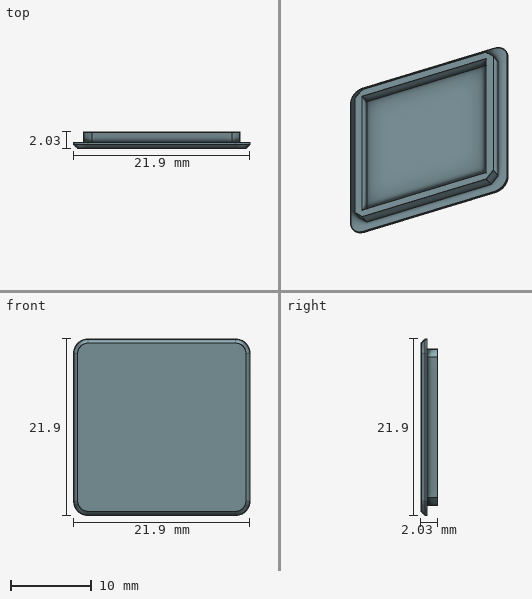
import cadquery as cq

plate_side = 21.85
plate_thickness = 0.75
plate_corner_radius = 1.8
bevel = 0.5

total_depth = 2.03
rim_inset = 1.25
rim_corner_chamfer = 1.0
rim_wall = 1.0

rim_side = plate_side - 2 * rim_inset
rim_height = total_depth - plate_thickness
recess_side = rim_side - 2 * rim_wall


def square_block(side, front, depth):
    """Square block centred on the Y axis, from y = front towards +Y."""
    return cq.Workplane("XZ", origin=(0, front, 0)).rect(side, side).extrude(-depth)


def face_plate():
    """Rounded plate with a bevel all round its outer face."""
    plate = square_block(plate_side, 0, plate_thickness)
    plate = plate.edges("|Y").fillet(plate_corner_radius)
    return plate.faces("<Y").edges().chamfer(bevel)


def locating_rim():
    """Square rim with cut-off outer corners, open at the back down to the plate."""
    rim = square_block(rim_side, plate_thickness, rim_height)
    rim = rim.edges("|Y").chamfer(rim_corner_chamfer)
    recess = square_block(recess_side, plate_thickness, rim_height)
    return rim.cut(recess)


result = face_plate().union(locating_rim())